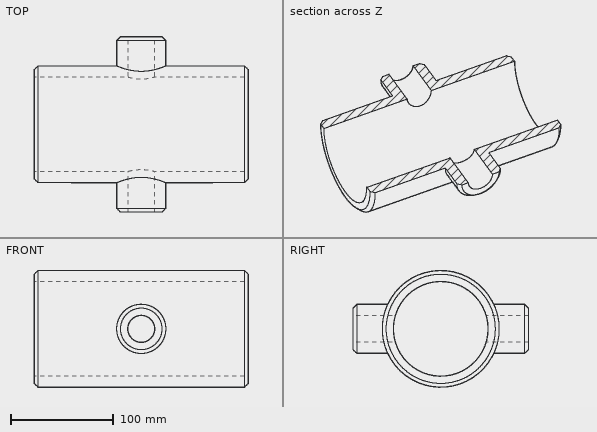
import cadquery as cq

pipe_length = 209.3
pipe_diameter = 114.3
pipe_bore = 92.3

branch_span = 171.6
branch_diameter = 48.1
branch_bore = 26.2

end_bevel = 3.8


def bevelled_bar(plane, diameter, length):
    """Solid round bar centred on the origin, bevelled at both ends."""
    bar = cq.Workplane(plane).circle(diameter / 2).extrude(length / 2, both=True)
    return bar.edges("%CIRCLE").chamfer(end_bevel)


def bore(plane, diameter, length):
    """Round cutter centred on the origin."""
    return cq.Workplane(plane).circle(diameter / 2).extrude(length / 2, both=True)


pipe = bevelled_bar("YZ", pipe_diameter, pipe_length)
branches = bevelled_bar("XZ", branch_diameter, branch_span)

result = (
    pipe.union(branches)
    .cut(bore("YZ", pipe_bore, pipe_length))
    .cut(bore("XZ", branch_bore, branch_span))
)